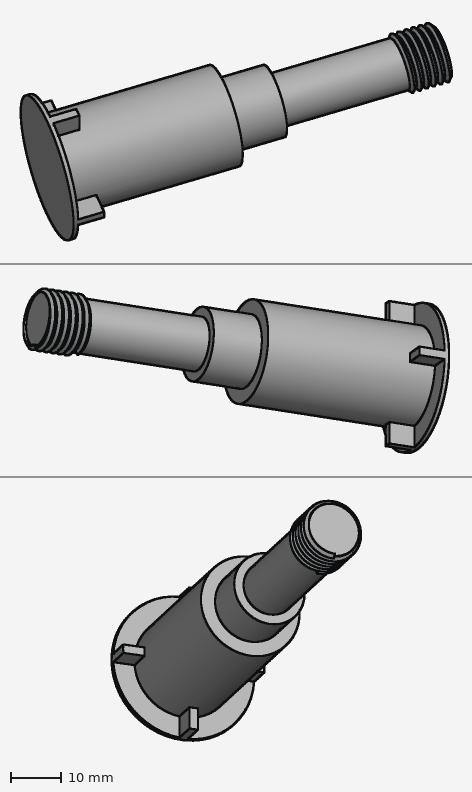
import cadquery as cq

flange_diameter = 30.0
flange_thickness = 1.0
body_diameter = 21.0
body_end = 37.5
shoulder_diameter = 15.0
shoulder_end = 48.0
shaft_diameter = 11.0
shaft_end = 83.0

fin_count = 4
fin_width = 1.8
fin_end = 6.5

overall_length = 84.0
thread_pitch = 1.5
thread_turns = 6
thread_diameter = 12.5
thread_base_width = 1.48
thread_embed = 0.05

thread_length = thread_turns * thread_pitch
thread_start = overall_length - thread_base_width / 2 - thread_length


def cylinder(diameter, end):
    """Solid cylinder about the Y axis from Y = 0 to Y = end."""
    return cq.Workplane("XZ").circle(diameter / 2).extrude(-end)


def make_spindle():
    """Flange, body, shoulder and shaft as coaxial steps."""
    spindle = cylinder(flange_diameter, flange_thickness)
    spindle = spindle.union(cylinder(body_diameter, body_end))
    spindle = spindle.union(cylinder(shoulder_diameter, shoulder_end))
    return spindle.union(cylinder(shaft_diameter, shaft_end))


def make_fins():
    """Equally spaced fins, their outer ends flush with the flange rim."""
    fins = cq.Workplane("XY")
    for index in range(fin_count):
        fin = cq.Workplane("XY").box(
            flange_diameter, fin_end, fin_width, centered=(False, False, True)
        )
        angle = index * 360 / fin_count
        fins = fins.union(fin.rotate((0, 0, 0), (0, 1, 0), angle))
    return fins.intersect(cylinder(flange_diameter, fin_end))


def make_thread():
    """Pointed helical ridge that starts and ends on the -Z side of the shaft."""
    half_base = thread_base_width / 2
    root_radius = shaft_diameter / 2 - thread_embed
    path = cq.Workplane(obj=cq.Wire.makeHelix(thread_pitch, thread_length, root_radius))
    ridge = (
        cq.Workplane("XZ")
        .moveTo(root_radius, -half_base)
        .lineTo(thread_diameter / 2, 0)
        .lineTo(root_radius, half_base)
        .close()
        .sweep(path, isFrenet=True)
    )
    ridge = ridge.rotate((0, 0, 0), (0, 0, 1), 90)
    ridge = ridge.rotate((0, 0, 0), (1, 0, 0), -90)
    return ridge.translate((0, thread_start, 0))


result = make_spindle().union(make_fins()).union(make_thread())